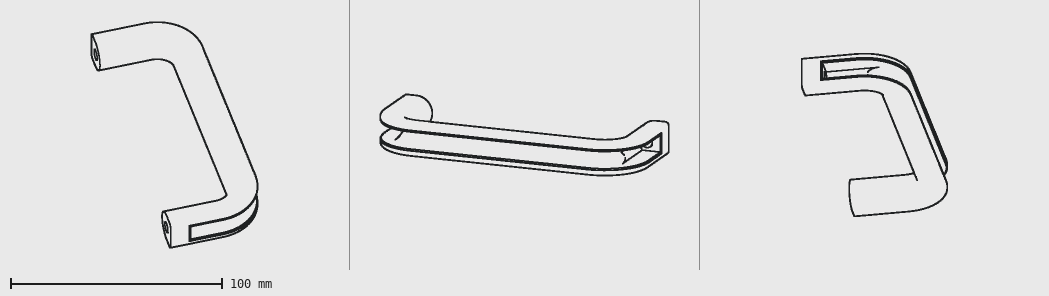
import cadquery as cq
import math

span = 134.8
reach = 48.4
height = 16.0

grip_radius = height / 2
grip_center = 6.7
edge_round = 2.0

bend_radius = 22.4
groove_width = 8.4
groove_end_wall = 10.0
rim_width = 0.8
rim_depth = 0.4
screw_diameter = 5.4
screw_inset = 7.3

hex_corner_diameter = groove_width / math.cos(math.pi / 6)

leg_face_x = span / 2
screw_x = leg_face_x - screw_inset


def outer_path(start_y):
    """U-shaped path along the outer face, both ends at start_y."""
    bend_y = reach - bend_radius
    bend_x = leg_face_x - bend_radius
    return (
        cq.Workplane("XY")
        .moveTo(-leg_face_x, start_y)
        .lineTo(-leg_face_x, bend_y)
        .radiusArc((-bend_x, reach), bend_radius)
        .lineTo(bend_x, reach)
        .radiusArc((leg_face_x, bend_y), bend_radius)
        .lineTo(leg_face_x, start_y)
    )


def section_plane(start_y):
    """Plane across the left leg: local x points inward, local y points up."""
    return cq.Workplane(cq.Plane((-leg_face_x, start_y, 0), (1, 0, 0), (0, -1, 0)))


def make_grip():
    """Grip with a flat outer face, rounded edges and a half-round inner side."""
    corner_mid = edge_round * (1 - math.sqrt(0.5))
    section = (
        section_plane(0)
        .moveTo(edge_round, -grip_radius)
        .lineTo(grip_center, -grip_radius)
        .threePointArc((grip_center + grip_radius, 0), (grip_center, grip_radius))
        .lineTo(edge_round, grip_radius)
        .threePointArc((corner_mid, grip_radius - corner_mid), (0, grip_radius - edge_round))
        .lineTo(0, edge_round - grip_radius)
        .threePointArc((corner_mid, corner_mid - grip_radius), (edge_round, -grip_radius))
        .close()
    )
    return section.sweep(outer_path(0))


def make_groove():
    """Round-bottomed groove in the outer face, stopping short of both leg ends."""
    half = groove_width / 2
    section = (
        section_plane(groove_end_wall)
        .moveTo(0, -half)
        .lineTo(grip_center, -half)
        .threePointArc((grip_center + half, 0), (grip_center, half))
        .lineTo(0, half)
        .close()
    )
    return section.sweep(outer_path(groove_end_wall))


def make_rim():
    """Shallow step around the mouth of the groove."""
    start_y = groove_end_wall - rim_width
    section = section_plane(start_y).center(rim_depth / 2, 0).rect(rim_depth, groove_width + 2 * rim_width)
    return section.sweep(outer_path(start_y))


def make_screw_holes():
    """Holes through the leg ends and the outer bar, along Y."""
    return (
        cq.Workplane("XZ")
        .pushPoints([(-screw_x, 0), (screw_x, 0)])
        .circle(screw_diameter / 2)
        .extrude(-reach)
    )


def make_hex_slots():
    """Hexagonal slots along the legs, running from the groove ends into the bends."""
    return (
        cq.Workplane("XZ", origin=(0, groove_end_wall, 0))
        .pushPoints([(-screw_x, 0), (screw_x, 0)])
        .polygon(6, hex_corner_diameter)
        .extrude(groove_end_wall - reach)
    )


result = make_grip().cut(make_groove()).cut(make_hex_slots()).cut(make_rim()).cut(make_screw_holes())